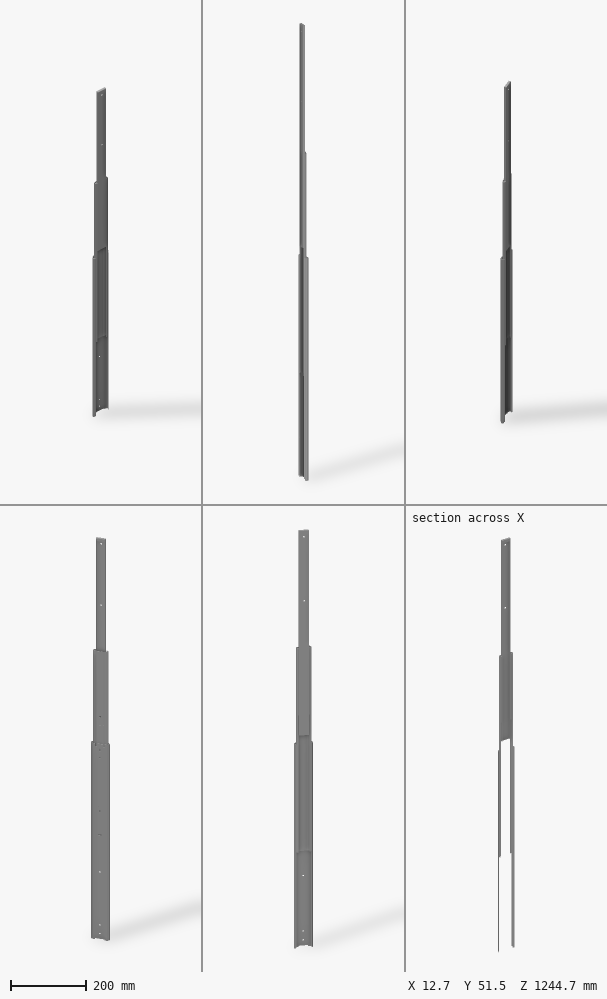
import cadquery as cq
import math


slide_thickness = 12.7
slide_height = 51.5
extended_length = 1244.68
rail_length = 609.6

mid_top = 896.0
mid_bottom = mid_top - rail_length
inner_bottom = extended_length - rail_length

outer_wall = 1.5
outer_web_x = -slide_thickness / 2
outer_open_x = slide_thickness / 2
outer_web_half = 20.4
outer_race_radius = 4.65
outer_bulge_x = -0.5
outer_bulge_half = slide_height / 2
outer_race_start_x = -5.1
outer_race_end_x = 3.8
outer_lip_half = 22.0
outer_mouth_half = 20.2

mid_wall = 1.2
mid_web_x = -3.6
mid_shoulder_x = -2.2
mid_race_start_x = -0.3
mid_race_end_x = 4.1
mid_groove_half_width = 1.0
mid_groove_depth = 0.6
mid_open_x = 6.0
mid_web_half = 9.4
mid_slope_half = 13.1
mid_shoulder_half = 16.9
mid_race_half = 20.6
mid_groove_x = (mid_race_start_x + mid_race_end_x) / 2
mid_groove_start_x = mid_groove_x - mid_groove_half_width
mid_groove_end_x = mid_groove_x + mid_groove_half_width
mid_groove_half = mid_race_half - mid_groove_depth
mid_lip_half = 17.0
mid_mouth_half = 14.5

inner_wall = 1.2
inner_edge_x = 0.4
inner_back_x = slide_thickness / 2
inner_web_x = inner_back_x - inner_wall
inner_half = 13.2

hole_diameter = 4.5
slot_length = 9.0
cross_slot_length = 11.5
outer_round_holes = (567.0, 211.0, 46.0, 19.5)
outer_upright_slots = (591.0, 400.0)
outer_cross_slot = 327.0
mid_hole = 693.0
inner_round_holes = (1226.5, 1035.5)

foot_recess = 3.2
foot_bar_width = 26.5
foot_bar_height = 3.2
lip_relief_x = 3.5
lip_relief_height = 4.0

latch_bottom = 662.0
latch_width = 18.0
latch_height = 9.5
latch_nose_width = 6.0
latch_nose_height = 3.0
latch_rib_height = latch_height / 2
latch_rib_depth = 0.6

retainer_bottom = 694.0
retainer_length = 200.0
retainer_width = 4.8
retainer_depth = 1.8

inner_bumper_height = 9.0
inner_bumper_step_height = 4.5
inner_bumper_step_depth = 1.2

outer_bumper = {"half": 9.4, "tongue_half": 5.0, "bar": 1.5, "height": 8.5}
mid_bumper = {"half": 7.0, "tongue_half": 3.9, "bar": 1.5, "height": 8.5}
outer_notch_half = 13.1


def box(x_min, x_max, width, z_min, z_max):
    """Block centred on Y = 0."""
    block = cq.Workplane("XY").box(x_max - x_min, width, z_max - z_min, centered=(False, True, False))
    return block.translate((x_min, 0, z_min))


def web_pin(web_x, wall, z):
    """Round plug through a web, along X."""
    return cq.Workplane("YZ").circle(hole_diameter / 2).extrude(wall).translate((web_x, 0, z))


def web_slot(length, angle, web_x, wall, z):
    """Round-ended plug through a web, lying along Y at angle 0 and along Z at angle 90."""
    slot = cq.Workplane("YZ").slot2D(length, hole_diameter, angle).extrude(wall)
    return slot.translate((web_x, 0, z))


def roll_formed(outline, wall, open_x, mouth_half, z_min, z_max):
    """Thin-walled rail from a closed outline, with a mouth cut through its +X side."""
    height = z_max - z_min
    wire = outline.val()
    filled = cq.Workplane("XY").add(wire).toPending().extrude(height)
    bore = cq.Workplane("XY").add(wire).toPending().offset2D(-wall).extrude(height)
    rail = filled.cut(bore).translate((0, 0, z_min))
    return rail.cut(box(open_x - 2 * wall, open_x + wall, 2 * mouth_half, z_min, z_max))


def forked_block(bumper, half, web_x, wall, z_top):
    """Crossbar at the rail end with two legs either side of a web tongue."""
    z_min = z_top - bumper["height"]
    block = box(web_x, web_x + wall, 2 * half, z_min, z_top)
    tongue = box(web_x, web_x + wall, 2 * bumper["tongue_half"], z_min, z_top - bumper["bar"])
    return block.cut(tongue)


def outer_race_half(x):
    """Half height of the outer rail where its rounded ball race passes x."""
    centre_half = outer_bulge_half - outer_race_radius
    return centre_half + math.sqrt(outer_race_radius ** 2 - (x - outer_bulge_x) ** 2)


def make_outer_rail():
    start_half = outer_race_half(outer_race_start_x)
    end_half = outer_race_half(outer_race_end_x)
    outline = (
        cq.Workplane("XY")
        .moveTo(outer_web_x, -outer_web_half)
        .lineTo(outer_web_x, outer_web_half)
        .lineTo(outer_race_start_x, start_half)
        .threePointArc((outer_bulge_x, outer_bulge_half), (outer_race_end_x, end_half))
        .lineTo(outer_open_x, outer_lip_half)
        .lineTo(outer_open_x, -outer_lip_half)
        .lineTo(outer_race_end_x, -end_half)
        .threePointArc((outer_bulge_x, -outer_bulge_half), (outer_race_start_x, -start_half))
        .close()
    )
    rail = roll_formed(outline, outer_wall, outer_open_x, outer_mouth_half, 0, rail_length)
    rail = rail.cut(forked_block(outer_bumper, outer_notch_half, outer_web_x, outer_wall, rail_length))
    rail = rail.cut(box(outer_web_x, outer_web_x + outer_wall, foot_bar_width, 0, foot_recess))
    rail = rail.cut(make_foot_bar())
    rail = rail.cut(box(lip_relief_x, outer_open_x, slide_height, 0, lip_relief_height))
    for z in outer_round_holes:
        rail = rail.cut(web_pin(outer_web_x, outer_wall, z))
    for z in outer_upright_slots:
        rail = rail.cut(web_slot(slot_length, 90, outer_web_x, outer_wall, z))
    return rail.cut(web_slot(cross_slot_length, 0, outer_web_x, outer_wall, outer_cross_slot))


def make_mid_rail():
    outline = (
        cq.Workplane("XY")
        .moveTo(mid_web_x, -mid_web_half)
        .lineTo(mid_web_x, mid_web_half)
        .lineTo(mid_shoulder_x, mid_slope_half)
        .lineTo(mid_shoulder_x, mid_shoulder_half)
        .lineTo(mid_race_start_x, mid_race_half)
        .lineTo(mid_groove_start_x, mid_race_half)
        .threePointArc((mid_groove_x, mid_groove_half), (mid_groove_end_x, mid_race_half))
        .lineTo(mid_race_end_x, mid_race_half)
        .lineTo(mid_open_x, mid_lip_half)
        .lineTo(mid_open_x, -mid_lip_half)
        .lineTo(mid_race_end_x, -mid_race_half)
        .lineTo(mid_groove_end_x, -mid_race_half)
        .threePointArc((mid_groove_x, -mid_groove_half), (mid_groove_start_x, -mid_race_half))
        .lineTo(mid_race_start_x, -mid_race_half)
        .lineTo(mid_shoulder_x, -mid_shoulder_half)
        .lineTo(mid_shoulder_x, -mid_slope_half)
        .close()
    )
    rail = roll_formed(outline, mid_wall, mid_open_x, mid_mouth_half, mid_bottom, mid_top)
    rail = rail.cut(make_mid_bumper())
    rail = rail.cut(make_latch())
    return rail.cut(web_pin(mid_web_x, mid_wall, mid_hole))


def make_inner_rail():
    channel_half = inner_half - inner_wall
    rail = box(inner_edge_x, inner_back_x, 2 * inner_half, inner_bottom, extended_length)
    rail = rail.cut(box(inner_edge_x, inner_web_x, 2 * channel_half, inner_bottom, extended_length))
    for z in inner_round_holes:
        rail = rail.cut(web_pin(inner_web_x, inner_wall, z))
    return rail


def make_foot_bar():
    bar_top = foot_recess + foot_bar_height
    return box(outer_web_x, outer_web_x + outer_wall, foot_bar_width, foot_recess, bar_top)


def make_outer_bumper():
    return forked_block(outer_bumper, outer_bumper["half"], outer_web_x, outer_wall, rail_length)


def make_mid_bumper():
    return forked_block(mid_bumper, mid_bumper["half"], mid_web_x, mid_wall, mid_top)


def make_inner_bumper():
    """Block filling the inner rail channel, with its lower part set back from the rail edges."""
    width = 2 * (inner_half - inner_wall)
    z_min = extended_length - inner_bumper_height
    z_step = z_min + inner_bumper_step_height
    block = box(inner_edge_x, inner_web_x, width, z_min, extended_length)
    return block.cut(box(inner_edge_x, inner_edge_x + inner_bumper_step_depth, width, z_min, z_step))


def make_ball_retainer(side):
    """Strip lying against one flange of the inner rail; side is +1 or -1 along Y."""
    strip = cq.Workplane("XY").box(retainer_depth, retainer_width, retainer_length)
    retainer_y = side * (inner_half + retainer_width / 2)
    return strip.translate((mid_groove_x, retainer_y, retainer_bottom + retainer_length / 2))


def make_latch():
    """Plate in the web with a raised rib on its lower half and a nose on top."""
    latch_top = latch_bottom + latch_height
    web_back = mid_web_x + mid_wall
    plate = box(mid_web_x, web_back, latch_width, latch_bottom, latch_top)
    nose = box(mid_web_x, web_back, latch_nose_width, latch_top, latch_top + latch_nose_height)
    rib_top = latch_bottom + latch_rib_height
    rib = box(mid_web_x - latch_rib_depth, mid_web_x, latch_width, latch_bottom, rib_top)
    return plate.union(nose).union(rib)


result = cq.Compound.makeCompound([
    make_outer_rail().val(),
    make_mid_rail().val(),
    make_inner_rail().val(),
    make_foot_bar().val(),
    make_outer_bumper().val(),
    make_mid_bumper().val(),
    make_inner_bumper().val(),
    make_latch().val(),
    *[make_ball_retainer(side).val() for side in (-1, 1)],
])